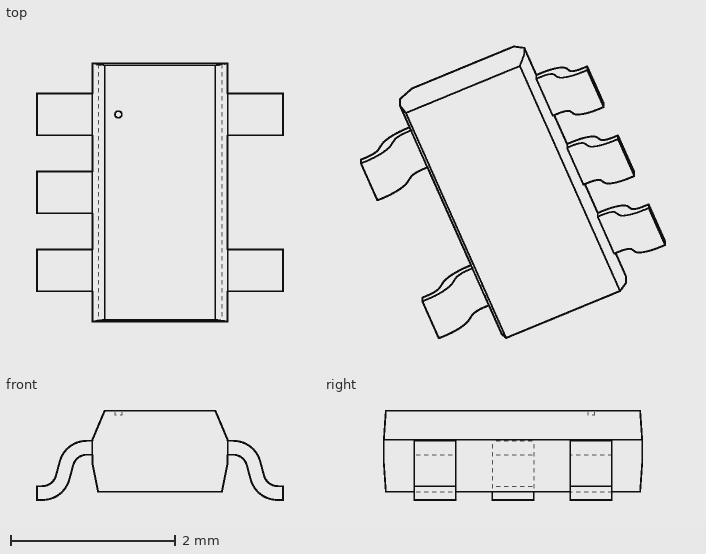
import cadquery as cq
import math


BODY_WIDTH = 1.65
BODY_LENGTH = 3.15
TOP_WIDTH = 1.35
BOTTOM_WIDTH = 1.51
END_LENGTH = 3.10
BODY_BOTTOM_Z = 0.10
BELT_LOW_Z = 0.45
BELT_HIGH_Z = 0.735
BODY_TOP_Z = 1.09

LEAD_SPAN = 3.0
LEAD_PITCH = 0.95
LEAD_WIDTH = 0.51
LEAD_THICKNESS = 0.172
LEAD_TOP_Z = 0.724
LEAD_FLAT = 0.067
INNER_RADIUS = 0.17
OUTER_RADIUS = INNER_RADIUS + LEAD_THICKNESS
LEFT_ROWS = (-1, 0, 1)
RIGHT_ROWS = (-1, 1)

MARK_DIAMETER = 0.083
MARK_DEPTH = 0.05
MARK_X = -0.507
MARK_Y = LEAD_PITCH


def tapered_block(low_z, low_size, high_z, high_size):
    """Solid between two centred rectangles at different heights."""
    return (
        cq.Workplane("XY")
        .workplane(offset=low_z)
        .rect(*low_size)
        .workplane(offset=high_z - low_z)
        .rect(*high_size)
        .loft(ruled=True)
    )


def make_mark():
    return (
        cq.Workplane("XY")
        .workplane(offset=BODY_TOP_Z - MARK_DEPTH)
        .center(MARK_X, MARK_Y)
        .circle(MARK_DIAMETER / 2)
        .extrude(MARK_DEPTH)
    )


def make_body():
    """Vertical belt with a tapered cap above and below, recessed for the mark."""
    belt_size = (BODY_WIDTH, BODY_LENGTH)
    lower = tapered_block(BODY_BOTTOM_Z, (BOTTOM_WIDTH, END_LENGTH), BELT_LOW_Z, belt_size)
    belt = tapered_block(BELT_LOW_Z, belt_size, BELT_HIGH_Z, belt_size)
    upper = tapered_block(BELT_HIGH_Z, belt_size, BODY_TOP_Z, (TOP_WIDTH, END_LENGTH))
    return lower.union(belt).union(upper).cut(make_mark())


def leg_angle():
    """Angle of the sloping leg from horizontal.

    Both bends have the same mid radius, so the leg's centreline is the crossed
    tangent of two equal circles set apart by the run and the rise of their centres.
    """
    mid_radius = (INNER_RADIUS + OUTER_RADIUS) / 2
    run = (LEAD_SPAN - BODY_WIDTH) / 2 - 2 * LEAD_FLAT
    drop = LEAD_TOP_Z - LEAD_THICKNESS
    centre_rise = 2 * mid_radius - drop
    centre_distance = math.hypot(run, centre_rise)
    return math.asin(2 * mid_radius / centre_distance) - math.atan2(centre_rise, run)


def make_lead(row):
    """Lead on the +X side, touching the body's side face and bent down to its foot."""
    angle = leg_angle()
    body_x = BODY_WIDTH / 2
    tip_x = LEAD_SPAN / 2
    upper_x = body_x + LEAD_FLAT
    upper_z = LEAD_TOP_Z - OUTER_RADIUS
    lower_x = tip_x - LEAD_FLAT
    lower_z = OUTER_RADIUS

    def on_upper_bend(radius, turn):
        return (upper_x + radius * math.sin(turn), upper_z + radius * math.cos(turn))

    def on_lower_bend(radius, turn):
        return (lower_x - radius * math.sin(turn), lower_z - radius * math.cos(turn))

    profile = (
        cq.Workplane("XZ")
        .moveTo(body_x, LEAD_TOP_Z)
        .lineTo(upper_x, LEAD_TOP_Z)
        .threePointArc(on_upper_bend(OUTER_RADIUS, angle / 2), on_upper_bend(OUTER_RADIUS, angle))
        .lineTo(*on_lower_bend(INNER_RADIUS, angle))
        .threePointArc(on_lower_bend(INNER_RADIUS, angle / 2), on_lower_bend(INNER_RADIUS, 0))
        .lineTo(tip_x, LEAD_THICKNESS)
        .lineTo(tip_x, 0)
        .lineTo(lower_x, 0)
        .threePointArc(on_lower_bend(OUTER_RADIUS, angle / 2), on_lower_bend(OUTER_RADIUS, angle))
        .lineTo(*on_upper_bend(INNER_RADIUS, angle))
        .threePointArc(on_upper_bend(INNER_RADIUS, angle / 2), on_upper_bend(INNER_RADIUS, 0))
        .lineTo(body_x, LEAD_TOP_Z - LEAD_THICKNESS)
        .close()
    )
    lead = profile.extrude(LEAD_WIDTH / 2, both=True)
    return lead.translate((0, row * LEAD_PITCH, 0))


body = make_body()
mark = make_mark()
right_leads = [make_lead(row).val() for row in RIGHT_ROWS]
left_leads = [make_lead(row).mirror("YZ").val() for row in LEFT_ROWS]

result = cq.Compound.makeCompound([body.val(), mark.val(), *right_leads, *left_leads])